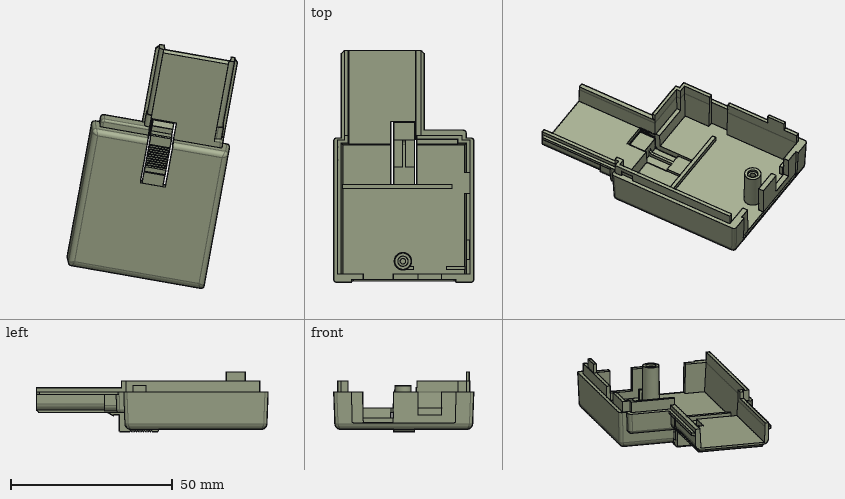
import cadquery as cq
import math


case_width = 43.4
case_depth = 44.7
rim_height = 11.6
floor_top = 2.15
outer_draft = 2.1
cavity_draft = 3.0
corner_radius = 1.0
case_bottom_radius = 1.8
overrun = 0.7

wall_front = 2.6
wall_side = 2.4
cavity_back = 43.0
lip_top = 15.0
lip_inset = 1.2
lip_back = 44.0
cavity_right = case_width - wall_side
lip_right = case_width - lip_inset

neck_left = 2.3
neck_right = 41.0
neck_back = 47.1
neck_bottom = 5.15
neck_bottom_radius = 0.8
neck_lip_left = 3.4
neck_lip_right = 39.7
neck_lip_back = 45.4
neck_cavity_right = 38.5
neck_cavity_back = 44.4
overlap_start = 39.4

overall_depth = 71.7
tongue_left = 2.4
tongue_right = 28.0
tongue_floor_top = 6.7
tongue_side_bottom = 6.0
tongue_corner_radius = 1.9
tongue_wall_top = 12.9
flange_width = 1.0
flange_thickness = 0.85
channel_left = 4.5
channel_right = 25.5
channel_right_at_lip = 25.75
collar_start = 50.6
collar_growth = 0.3
collar_radius = 1.65
tongue_body_right = tongue_right - flange_width
keel_left = neck_lip_left + tongue_corner_radius
keel_right = 25.75

recess_depth = 0.85
recess_bottom = 1.95
recess_inset = 5.5
recess_lean = 0.2
recess_bevel = 0.35
opening_left = 9.0
opening_right = 18.5
opening_lean = 0.15
window_left = 26.1
window_right = 33.4
window_bottom = 4.5

pocket_front = 27.45
pocket_back = 34.0
tab_front = 7.1
tab_back = 13.05
tab_top = 17.8
tab_inset = 0.2

catch_front = 37.8
catch_back = 41.8
catch_top = 13.55
catch_depth = 0.6

rib_front = 29.05
rib_thickness = 1.2
rib_right = 36.6
rib_top = 3.6
rib_back = rib_front + rib_thickness
post_x = 21.45
post_y = 6.5
post_top = 13.55
post_radius = 2.5
post_draft = 1.0
screw_radius = 0.85
counterbore_radius = 1.6
counterbore_depth = 0.7
guide_front = 3.95
guide_thickness = 1.0
guide_top = 5.4
left_guide_end = 24.7
right_guide_start = 34.9

slot_width = 7.9
slot_x = case_width / 2
slot_back = 49.7
latch_width = 6.5
latch_x = 21.8
latch_tip = 49.5
latch_tip_top = 5.4
latch_tip_edge = 5.1
latch_arm_bottom = 4.5
hook_front = 47.75
hook_bottom = 4.1
latch_wall_back = 46.1
latch_wall_front = 43.95
pad_front = 33.9
pad_bottom = -0.8
pad_chamfer = 0.35
latch_recess_front = 35.7
latch_plate_top = 2.0
latch_recess_floor = 0.9
spine_width = 0.85
spine_radius = 1.35
groove_pitch = 0.7
groove_count = 10
groove_depth = 0.4
groove_first = 36.1


def block(x0, x1, y0, y1, z0, z1):
    return cq.Workplane("XY").box(x1 - x0, y1 - y0, z1 - z0, centered=False).translate((x0, y0, z0))


def drafted_block(x0, x1, y0, y1, z0, z1, draft):
    """Block with the given size at its top, narrowing downwards by the draft angle."""
    center = ((x0 + x1) / 2, (y0 + y1) / 2)
    top = cq.Workplane("XY", origin=(0, 0, z1)).center(*center).rect(x1 - x0, y1 - y0)
    return top.extrude(z0 - z1, taper=draft)


def rounded_block(x0, x1, y0, y1, z0, z1, bottom_radius):
    body = drafted_block(x0, x1, y0, y1, z0, z1, outer_draft)
    body = body.edges("not(#Z)").edges("not(|X or |Y)").fillet(corner_radius)
    return body.faces("<Z").edges().fillet(bottom_radius)


def tongue_section(left, right, bottom, back, radius):
    """Straight length of the tongue with rounded lower edges."""
    body = block(left, right, overlap_start, back, bottom, rim_height)
    return body.edges("<Z and |Y").fillet(radius)


def make_tongue():
    tongue = tongue_section(
        neck_lip_left, tongue_body_right, tongue_side_bottom, overall_depth, tongue_corner_radius
    )
    collar = tongue_section(
        neck_lip_left - collar_growth,
        tongue_body_right + collar_growth,
        tongue_side_bottom - collar_growth,
        collar_start,
        collar_radius,
    )
    flange = block(
        tongue_left, tongue_right, overlap_start, overall_depth, rim_height - flange_thickness, rim_height
    )
    flange = flange.edges("|Z and >Y").chamfer(flange_width)
    keel = block(keel_left, keel_right, overlap_start, overall_depth, neck_bottom, tongue_floor_top)
    keel = keel.edges("<Z and >Y").chamfer(tongue_side_bottom - neck_bottom)
    side_walls = block(
        neck_lip_left, tongue_body_right, neck_lip_back, overall_depth, rim_height, tongue_wall_top
    )
    return tongue.union(collar).union(flange).union(keel).union(side_walls)


def make_lip():
    lip = block(lip_inset, lip_right, wall_front, lip_back, rim_height, lip_top)
    neck_lip = block(neck_lip_left, neck_lip_right, overlap_start, neck_lip_back, rim_height, lip_top)
    tab = block(cavity_right, lip_right - tab_inset, tab_front, tab_back, rim_height, tab_top)
    catch = block(lip_inset, lip_inset + catch_depth, catch_front, catch_back, rim_height, catch_top)
    return lip.union(neck_lip).union(tab).cut(catch)


def main_cavity():
    """Drafted on three sides, with an upright face along the front wall."""
    ahead = wall_front - overrun
    cavity = drafted_block(wall_side, cavity_right, ahead, cavity_back, floor_top, rim_height, cavity_draft)
    behind_front = block(wall_side, cavity_right, wall_front, cavity_back, floor_top, rim_height)
    return cavity.intersect(behind_front)


def cut_cavities(body):
    x0, y0, z0 = channel_left, overlap_start, tongue_floor_top
    past_end = overall_depth + overrun
    cavities = [
        main_cavity(),
        drafted_block(x0, neck_cavity_right, y0, neck_cavity_back, z0, rim_height, cavity_draft),
        drafted_block(x0, channel_right, y0, past_end, z0, rim_height, cavity_draft),
        block(wall_side, cavity_right, wall_front, cavity_back, rim_height, lip_top),
        block(x0, neck_cavity_right, y0, neck_cavity_back, rim_height, lip_top),
        block(x0, channel_right, y0, past_end, rim_height, tongue_wall_top),
        block(x0, channel_right_at_lip, y0, past_end, tongue_wall_top, lip_top),
    ]
    for cavity in cavities:
        body = body.cut(cavity)
    return body


def front_recess():
    lower = recess_inset + recess_lean
    lowest = lower + recess_bevel
    left_side = [
        (recess_inset, rim_height),
        (lower, recess_bottom + recess_bevel),
        (lowest, recess_bottom),
    ]
    right_side = [(case_width - x, z) for x, z in reversed(left_side)]
    return cq.Workplane("XZ").polyline(left_side + right_side).close().extrude(-recess_depth)


def cable_opening():
    outline = [
        (opening_left, rim_height),
        (opening_left + opening_lean, floor_top),
        (opening_right - opening_lean, floor_top),
        (opening_right, rim_height),
    ]
    return cq.Workplane("XZ").polyline(outline).close().extrude(-wall_front)


def screw_post():
    height = post_top - floor_top
    post = cq.Workplane("XY", origin=(post_x, post_y, post_top)).circle(post_radius)
    return post.extrude(-height, taper=-post_draft)


def screw_hole():
    top = cq.Workplane("XY", origin=(post_x, post_y, post_top))
    hole = top.circle(screw_radius).extrude(floor_top - post_top)
    return hole.union(top.circle(counterbore_radius).extrude(-counterbore_depth))


def make_housing():
    housing = rounded_block(0, case_width, 0, case_depth, 0, rim_height, case_bottom_radius)
    neck = rounded_block(
        neck_left, neck_right, overlap_start, neck_back, neck_bottom, rim_height, neck_bottom_radius
    )
    housing = housing.union(neck).union(make_tongue())
    housing = cut_cavities(housing.union(make_lip()))

    housing = housing.cut(front_recess()).cut(cable_opening())
    housing = housing.cut(block(window_left, window_right, 0, wall_front, window_bottom, rim_height))
    pocket_left = cavity_right - wall_side
    housing = housing.cut(block(pocket_left, lip_right, pocket_front, pocket_back, floor_top, lip_top))

    guide_back = guide_front + guide_thickness
    housing = housing.union(block(wall_side, rib_right, rib_front, rib_back, floor_top, rib_top))
    housing = housing.union(block(post_x, left_guide_end, guide_front, guide_back, floor_top, guide_top))
    housing = housing.union(
        block(right_guide_start, cavity_right, guide_front, guide_back, floor_top, guide_top)
    )
    housing = housing.union(screw_post()).cut(screw_hole())

    slot_left = slot_x - slot_width / 2
    slot_right = slot_x + slot_width / 2
    return housing.cut(block(slot_left, slot_right, rib_back, slot_back, 0, tongue_floor_top))


def latch_side():
    """Sketch plane on the left face of the latch."""
    return cq.Workplane("YZ", origin=(latch_x - latch_width / 2, 0, 0))


def latch_outline():
    """Side outline of the latch as (Y, Z) points, from the hinge end around the underside."""
    return [
        (rib_back, latch_plate_top),
        (rib_back, 0),
        (pad_front, 0),
        (pad_front, pad_bottom + pad_chamfer),
        (pad_front + pad_chamfer, pad_bottom),
        (latch_wall_back - pad_chamfer, pad_bottom),
        (latch_wall_back, pad_bottom + pad_chamfer),
        (latch_wall_back, latch_arm_bottom),
        (hook_front, latch_arm_bottom),
        (hook_front, hook_bottom),
        (latch_tip, latch_tip_edge),
        (latch_tip, latch_tip_top),
        (latch_wall_front, latch_tip_top),
        (latch_wall_front, latch_recess_floor),
        (latch_recess_front, latch_recess_floor),
        (latch_recess_front, latch_plate_top),
    ]


def latch_spine():
    """Centre rib over the recess, curving up into the latch wall."""
    bend = spine_radius * (1 - math.sqrt(0.5))
    bend_middle = (latch_wall_front - bend, latch_plate_top + bend)
    bend_end = (latch_wall_front, latch_plate_top + spine_radius)
    spine = (
        cq.Workplane("YZ", origin=(latch_x - spine_width / 2, 0, 0))
        .moveTo(latch_recess_front, latch_recess_floor)
        .lineTo(latch_recess_front, latch_plate_top)
        .lineTo(latch_wall_front - spine_radius, latch_plate_top)
        .threePointArc(bend_middle, bend_end)
        .lineTo(latch_wall_front, latch_recess_floor)
        .close()
    )
    return spine.extrude(spine_width)


def grip_groove(y):
    outline = [
        (y - groove_pitch / 2, pad_bottom),
        (y, pad_bottom + groove_depth),
        (y + groove_pitch / 2, pad_bottom),
    ]
    return latch_side().polyline(outline).close().extrude(latch_width)


def make_latch():
    latch = latch_side().polyline(latch_outline()).close().extrude(latch_width)
    latch = latch.union(latch_spine())
    for index in range(groove_count):
        latch = latch.cut(grip_groove(groove_first + index * groove_pitch))
    return latch


housing = make_housing()
latch = make_latch()
result = cq.Compound.makeCompound([housing.solids().val(), latch.solids().val()])